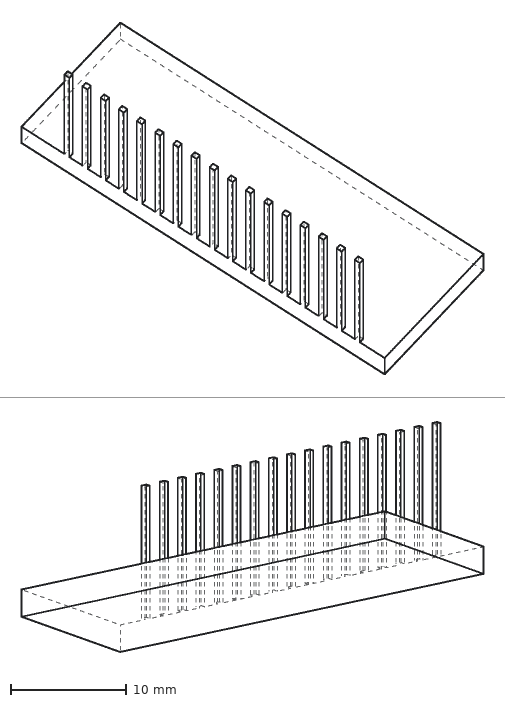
import cadquery as cq

base_length = 40.0
base_depth = 14.0
base_height = 2.5

pin_count = 17
pin_pitch = 2.0
pin_width = 0.55
pin_depth = 0.5
pin_height = 12.0
first_pin_x = 5.0


def make_base():
    """Plate with its front left bottom corner at the origin."""
    return cq.Workplane("XY").box(base_length, base_depth, base_height, centered=False)


def make_pins():
    """Evenly spaced pins, flush with the front face and rising from the top face."""
    pin_centres = [
        (first_pin_x + index * pin_pitch, pin_depth / 2)
        for index in range(pin_count)
    ]
    return (
        cq.Workplane("XY", origin=(0, 0, base_height))
        .pushPoints(pin_centres)
        .rect(pin_width, pin_depth)
        .extrude(pin_height)
    )


result = make_base().union(make_pins())